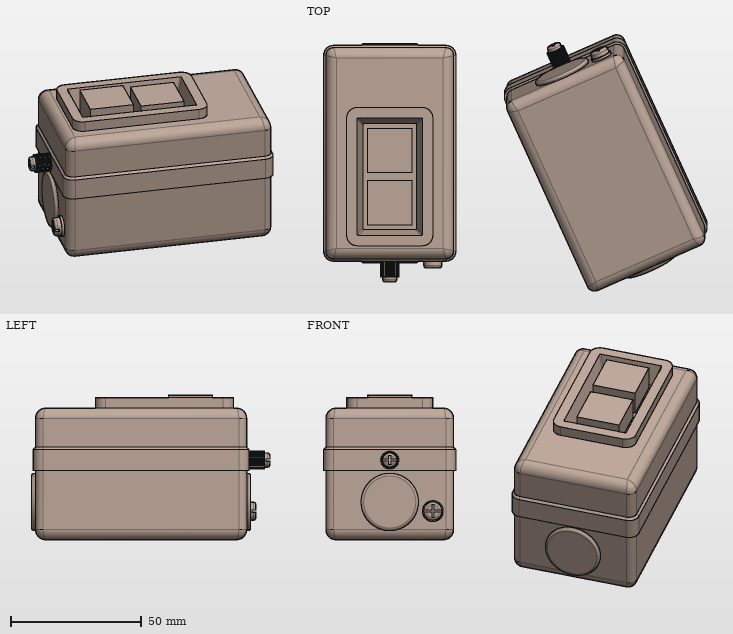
import cadquery as cq
import math

WIDTH = 49.0
LENGTH = 81.0
HEIGHT = 50.5
EDGE_RADIUS = 4.0
CORNER_RADIUS = 3.0
FRONT_Y = -LENGTH / 2

BAND_OUTSET = 0.9
BAND_BOTTOM = 26.5
BAND_HEIGHT = 9.0
BAND_MIDDLE = BAND_BOTTOM + (BAND_HEIGHT - BAND_OUTSET) / 2

BEZEL_WIDTH = 33.0
BEZEL_LENGTH = 53.0
BEZEL_HEIGHT = 4.0
BEZEL_RADIUS = 4.0
BEZEL_Y = -8.95
BEZEL_TOP = HEIGHT + BEZEL_HEIGHT
RIM_WIDTH = 4.0
RECESS_WIDTH = BEZEL_WIDTH - 2 * RIM_WIDTH
RECESS_LENGTH = BEZEL_LENGTH - 2 * RIM_WIDTH
RECESS_FILLET = 0.5
RECESS_INSET = 2.2
RECESS_DEPTH = 8.5

BUTTON_SIZE = 17.0
BUTTON_GAP = 3.0
BUTTON_SPACING = BUTTON_SIZE + BUTTON_GAP
OFF_RISE = 1.0
ON_HEIGHT = RECESS_DEPTH
OFF_HEIGHT = RECESS_DEPTH + OFF_RISE

COVER_RADIUS = 11.0
COVER_Z = 14.5
COVER_HEIGHT = 1.5
COVER_FILLET = 1.0

SLOT_WIDTH = 0.8
SLOT_DEPTH = 1.5
HEAD_FILLET = 1.0

KNURL_RADIUS = 3.5
KNURL_DEPTH = 0.7
KNURL_TEETH = 38
KNURL_LENGTH = 5.95
LID_HEAD_RADIUS = 2.75
LID_HEAD_HEIGHT = 2.05

EARTH_X = 16.5
EARTH_Z = 11.0
WASHER_RADIUS = 4.0
WASHER_HEIGHT = 1.0
EARTH_HEAD_RADIUS = 3.5
EARTH_HEAD_HEIGHT = 2.5


def front_plane(x, y, z):
    """Plane facing -Y, with its local x along X and local y along Z."""
    return cq.Workplane(cq.Plane((x, y, z), (1, 0, 0), (0, -1, 0)))


def rounded_block():
    """Whole enclosure block: rounded top and bottom edges, then rounded corners."""
    block = cq.Workplane("XY").box(WIDTH, LENGTH, HEIGHT, centered=(True, True, False))
    block = block.faces("<Z or >Z").edges().fillet(EDGE_RADIUS)
    return block.edges("|Z").fillet(CORNER_RADIUS)


def band():
    """Raised band with a chamfered top edge."""
    width = WIDTH + 2 * BAND_OUTSET
    length = LENGTH + 2 * BAND_OUTSET
    outline = cq.Workplane("XY", (0, 0, BAND_BOTTOM)).rect(width, length)
    rim = outline.extrude(BAND_HEIGHT).edges("|Z").fillet(CORNER_RADIUS + BAND_OUTSET)
    return rim.faces(">Z").edges().chamfer(BAND_OUTSET)


def bezel():
    """Round-cornered frame standing on the lid."""
    outline = cq.Workplane("XY", (0, BEZEL_Y, HEIGHT)).rect(BEZEL_WIDTH, BEZEL_LENGTH)
    return outline.extrude(BEZEL_HEIGHT).edges("|Z").fillet(BEZEL_RADIUS)


def recess():
    """Tapered space inside the bezel, narrower at its floor, with rounded wall corners."""
    floor_width = RECESS_WIDTH - 2 * RECESS_INSET
    floor_length = RECESS_LENGTH - 2 * RECESS_INSET
    mouth = cq.Workplane("XY", (0, BEZEL_Y, BEZEL_TOP)).rect(RECESS_WIDTH, RECESS_LENGTH)
    floor = mouth.workplane(offset=-RECESS_DEPTH).rect(floor_width, floor_length)
    return floor.loft(ruled=True).edges("not #Z").fillet(RECESS_FILLET)


def button(y, height):
    """Square push button standing on the recess floor."""
    base = cq.Workplane("XY", (0, y, BEZEL_TOP - RECESS_DEPTH))
    return base.rect(BUTTON_SIZE, BUTTON_SIZE).extrude(height)


def cross_head(x, y, z, radius, height):
    """Round screw head seated at y, with one slot right across and a shorter one crossing it."""
    head = front_plane(x, y, z).circle(radius).extrude(height).faces("<Y").edges().fillet(HEAD_FILLET)
    floor = front_plane(x, y - height + SLOT_DEPTH, z)
    cross_length = 2 * (radius - HEAD_FILLET)
    long_slot = floor.rect(2 * radius, SLOT_WIDTH).extrude(SLOT_DEPTH)
    short_slot = floor.rect(SLOT_WIDTH, cross_length).extrude(SLOT_DEPTH)
    return head.cut(long_slot).cut(short_slot)


def knurled_screw():
    """Lid screw: a knob with V-shaped knurl grooves, one at the very top, and a cross-slotted head."""
    points = []
    for index in range(2 * KNURL_TEETH):
        angle = math.pi / 2 + math.pi * index / KNURL_TEETH
        is_groove = index % 2 == 0
        radius = KNURL_RADIUS - KNURL_DEPTH if is_groove else KNURL_RADIUS
        points.append((radius * math.cos(angle), radius * math.sin(angle)))
    seat_y = FRONT_Y - BAND_OUTSET
    knob = front_plane(0, seat_y, BAND_MIDDLE).polyline(points).close().extrude(KNURL_LENGTH)
    head = cross_head(0, seat_y - KNURL_LENGTH, BAND_MIDDLE, LID_HEAD_RADIUS, LID_HEAD_HEIGHT)
    return knob.union(head)


def earth_screw():
    """Washer and cross-slotted screw low on the front of the base."""
    washer = front_plane(EARTH_X, FRONT_Y, EARTH_Z).circle(WASHER_RADIUS).extrude(WASHER_HEIGHT)
    seat_y = FRONT_Y - WASHER_HEIGHT
    return washer.union(cross_head(EARTH_X, seat_y, EARTH_Z, EARTH_HEAD_RADIUS, EARTH_HEAD_HEIGHT))


def entry_covers():
    """Round cover at each end, as one cylinder running through the base with rounded rims."""
    end_y = LENGTH / 2 + COVER_HEIGHT
    cylinder = front_plane(0, end_y, COVER_Z).circle(COVER_RADIUS).extrude(2 * end_y)
    return cylinder.faces("<Y or >Y").edges().fillet(COVER_FILLET)


lower_space = cq.Workplane("XY").box(2 * WIDTH, 2 * LENGTH, BAND_BOTTOM, centered=(True, True, False))
lid = rounded_block().cut(lower_space).union(band()).union(bezel()).cut(recess())
lid = lid.union(button(BEZEL_Y + BUTTON_SPACING / 2, ON_HEIGHT))
lid = lid.union(button(BEZEL_Y - BUTTON_SPACING / 2, OFF_HEIGHT))
lid = lid.union(knurled_screw())

base = rounded_block().intersect(lower_space).union(entry_covers()).union(earth_screw())

result = cq.Compound.makeCompound([lid.val(), base.val()])